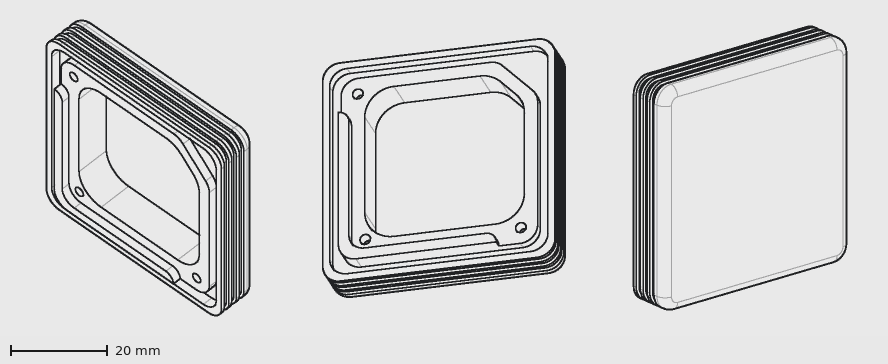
import cadquery as cq
import math

side = 49.8
overall_depth = 11.4
lip_height = 1.65
body_depth = overall_depth - lip_height
corner_radius = 3.75

fin_count = 4
fin_thickness = 0.9
fin_gap = 1.35
groove_depth = 0.75
fin_pitch = fin_thickness + fin_gap
back_radius = body_depth - (fin_count * fin_thickness + (fin_count - 1) * fin_gap)


rim_width = 1.5
channel_floor = 2.5

platform_half = 21.05
platform_drop = 0.4
platform_radius = 3.75
bevel_leg = 8.6

lip_width = 2.25
lip_end = 12.8
lip_inner_radius = 3.35
lip_depth = lip_height + platform_drop

wall = 2.85
pocket_floor = 8.6
pocket_radius = 6.2

hole_diameter = 2.25
hole_depth = 3.0
drill_tip_angle = 118.0
hole_offset = 17.45
corner_hole_offset = 15.9
hole_centres = [
    (-hole_offset, hole_offset),
    (hole_offset, -hole_offset),
    (-corner_hole_offset, -corner_hole_offset),
]


def plane_at(y):
    """XZ plane at the given y facing -Y, so negative extrusions run toward +Y."""
    return cq.Workplane(cq.Plane(origin=(0, y, 0), xDir=(1, 0, 0), normal=(0, -1, 0)))


def rounded_square(width, radius, y, depth):
    return plane_at(y).rect(width, width).extrude(-depth).edges("|Y").fillet(radius)


def bevelled_square(low, high, bevel, radius, y, depth):
    """Rounded square from low to high in X and Z, with its +X +Z corner cut off."""
    outline = [
        (low, low),
        (high, low),
        (high, high - bevel),
        (high - bevel, high),
        (low, high),
    ]
    return plane_at(y).polyline(outline).close().extrude(-depth).edges("|Y").fillet(radius)


def make_body():
    block = rounded_square(side, corner_radius, 0, body_depth)
    return block.faces(">Y").edges().fillet(back_radius)


def make_groove(y):
    outer = plane_at(y).rect(2 * side, 2 * side).extrude(-fin_gap)
    core = rounded_square(side - 2 * groove_depth, corner_radius - groove_depth, y, fin_gap)
    return outer.cut(core)


def make_platform(y, depth):
    return bevelled_square(-platform_half, platform_half, bevel_leg, platform_radius, y, depth)


def make_recess():
    """Opening inside the rim, less the platform that stands on its floor."""
    opening = rounded_square(side - 2 * rim_width, corner_radius, 0, channel_floor)
    return opening.cut(make_platform(platform_drop, channel_floor - platform_drop))


def make_lip():
    low = -platform_half
    inner = low + lip_width
    outline = (
        plane_at(-lip_height)
        .moveTo(low, low)
        .lineTo(lip_end, low)
        .radiusArc((lip_end - lip_width, inner), -lip_width)
        .lineTo(inner, inner)
        .lineTo(inner, lip_end - lip_width)
        .radiusArc((low, lip_end), -lip_width)
        .close()
        .extrude(-lip_depth)
    )
    inner_corner = cq.NearestToPointSelector((inner, -lip_height + lip_depth / 2, inner))
    rounded = outline.edges(inner_corner).fillet(lip_inner_radius)
    return rounded.intersect(make_platform(-lip_height, lip_depth))


def make_pocket():
    low = -platform_half + lip_width + wall
    high = platform_half - wall
    bevel = bevel_leg - wall * (2 - math.sqrt(2))
    return bevelled_square(low, high, bevel, pocket_radius, 0, pocket_floor)


def make_hole(x, z):
    radius = hole_diameter / 2
    tip = radius / math.tan(math.radians(drill_tip_angle / 2))
    profile = [
        (0, 0),
        (radius, 0),
        (radius, hole_depth),
        (0, hole_depth + tip),
    ]
    half_section = cq.Workplane("XY", origin=(x, platform_drop, z)).polyline(profile).close()
    return half_section.revolve(360, (0, 0, 0), (0, 1, 0))


result = make_body()
for index in range(fin_count - 1):
    result = result.cut(make_groove(fin_thickness + index * fin_pitch))
result = result.cut(make_recess())
result = result.union(make_lip())
result = result.cut(make_pocket())
for hole_x, hole_z in hole_centres:
    result = result.cut(make_hole(hole_x, hole_z))